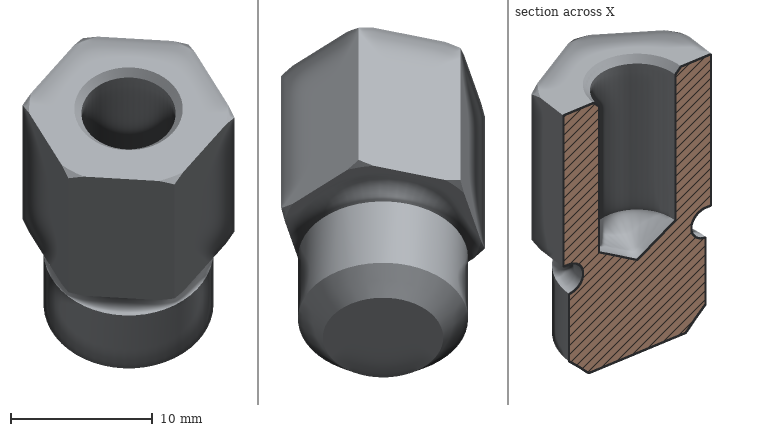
import cadquery as cq
import math

total_height = 23.0
hex_across_flats = 13.0
hex_height = 13.0
hex_base = total_height - hex_height
hex_corner_radius = hex_across_flats / 2 / math.cos(math.radians(30))

hex_face_radius = 7.02
hex_chamfer_angle = 30.0
hex_chamfer_drop = (hex_corner_radius - hex_face_radius) * math.tan(math.radians(hex_chamfer_angle))

spigot_radius = 12.0 / 2
groove_radius = 1.25
groove_base = hex_base - 2 * groove_radius
tip_chamfer = 1.75

bore_radius = 6.65 / 2
bore_depth = hex_height
countersink_radius = 7.65 / 2
countersink_depth = countersink_radius - bore_radius
drill_point_angle = 118.0
drill_point_depth = bore_radius / math.tan(math.radians(drill_point_angle / 2))


def make_hexagon():
    """Hexagonal prism, corners on X, trimmed by a double-chamfered cylinder."""
    prism = (
        cq.Workplane("XY")
        .workplane(offset=hex_base)
        .polygon(6, 2 * hex_corner_radius)
        .extrude(hex_height)
    )
    envelope = (
        cq.Workplane("XZ")
        .moveTo(0, hex_base)
        .lineTo(hex_face_radius, hex_base)
        .lineTo(hex_corner_radius, hex_base + hex_chamfer_drop)
        .lineTo(hex_corner_radius, total_height - hex_chamfer_drop)
        .lineTo(hex_face_radius, total_height)
        .lineTo(0, total_height)
        .close()
        .revolve()
    )
    return prism.intersect(envelope)


def make_spigot():
    """Revolved spigot with its tip chamfer and relief groove."""
    return (
        cq.Workplane("XZ")
        .lineTo(spigot_radius - tip_chamfer, 0)
        .lineTo(spigot_radius, tip_chamfer)
        .lineTo(spigot_radius, groove_base)
        .threePointArc(
            (spigot_radius - groove_radius, groove_base + groove_radius),
            (spigot_radius, hex_base),
        )
        .lineTo(0, hex_base)
        .close()
        .revolve()
    )


def make_bore():
    """Revolved cutter for the countersunk bore and its conical bottom."""
    bore_floor = total_height - bore_depth
    return (
        cq.Workplane("XZ")
        .moveTo(0, bore_floor - drill_point_depth)
        .lineTo(bore_radius, bore_floor)
        .lineTo(bore_radius, total_height - countersink_depth)
        .lineTo(countersink_radius, total_height)
        .lineTo(0, total_height)
        .close()
        .revolve()
    )


result = make_hexagon().union(make_spigot()).cut(make_bore())